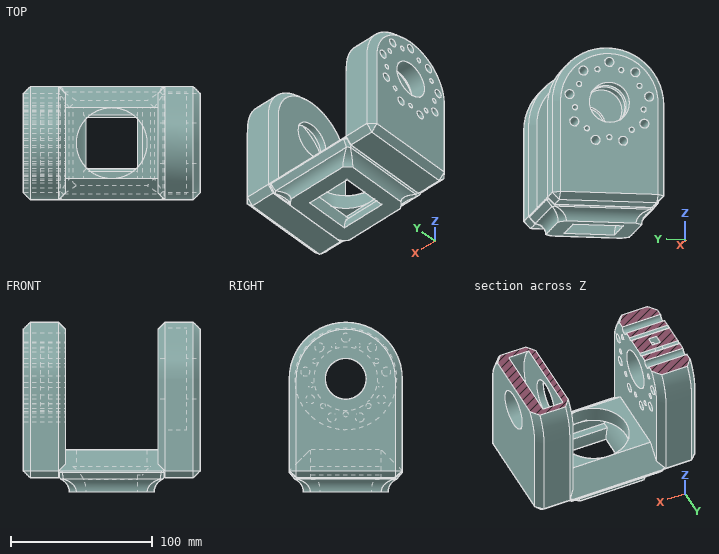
import cadquery as cq
import math

length = 125.0
width = 80.0
height = 120.0

arm_thickness = 30.0
arm_bottom = 10.0
arm_chamfer = 5.0
pivot_height = height - width / 2
bore_diameter = 28.6

left_outer_wall = 12.2
left_inner_wall = 12.0
left_chamber_radius = 22.5
right_outer_wall = 9.8
right_inner_wall = 5.0
right_chamber_radius = 36.0

hole_count = 9
large_hole_diameter = 6.4
large_ring_radius = 29.0
small_hole_diameter = 3.6
small_ring_radius = 25.0

bridge_bottom = arm_bottom + arm_chamfer
bridge_top = 30.0
bridge_top_width = 50.0

pad_side = 60.0
flare_radius = (width - pad_side) / 2
corner_leg = 5.0
foot_chamfer = 4.0

passage_diameter = 50.0
skin = 12.0
side_ledge_height = 9.0
end_ledge_height = 12.0
well_floor = 18.0


def build_arm(outer_wall, inner_wall, chamber_radius):
    """Arm at the -X end with chamfered edges, a bore and a closed chamber around the bore."""
    arm = (
        cq.Workplane("YZ", origin=(-length / 2, 0, 0))
        .moveTo(-width / 2, pivot_height)
        .threePointArc((0, height), (width / 2, pivot_height))
        .lineTo(width / 2, arm_bottom)
        .lineTo(-width / 2, arm_bottom)
        .close()
        .extrude(arm_thickness)
    )
    rim_and_bottom_edges = arm.faces("<X or >X or <Z").edges()
    arm = rim_and_bottom_edges.chamfer(arm_chamfer)

    pivot = pivot_plane()
    bore = pivot.circle(bore_diameter / 2).extrude(arm_thickness)
    chamber_depth = arm_thickness - outer_wall - inner_wall
    chamber = pivot.workplane(offset=outer_wall).circle(chamber_radius).extrude(chamber_depth)
    return arm.cut(bore).cut(chamber)


def pivot_plane():
    """Work plane on the -X end face, centred on the pivot axis and facing into the part."""
    return cq.Workplane("YZ", origin=(-length / 2, 0, pivot_height))


def hole_ring(ring_radius, hole_diameter, start_angle):
    """Evenly spaced holes around the pivot axis, through the left arm."""
    return (
        pivot_plane()
        .polarArray(ring_radius, start_angle, 360, hole_count)
        .circle(hole_diameter / 2)
        .extrude(arm_thickness)
    )


def build_bridge():
    """Bar joining the arms, with both long top edges sloped away."""
    span = width
    return (
        cq.Workplane("YZ", origin=(-span / 2, 0, 0))
        .moveTo(-width / 2, bridge_bottom)
        .lineTo(-bridge_top_width / 2, bridge_top)
        .lineTo(bridge_top_width / 2, bridge_top)
        .lineTo(width / 2, bridge_bottom)
        .close()
        .extrude(span)
    )


def flared_prism(bottom_half, flare, top_half, angle):
    """Long prism along Y, turned about Z, whose sides flare, then slope, out to the top width."""
    chamfer_angle = 2 * math.asin(foot_chamfer / (2 * flare_radius))
    flare_end = 90 - math.degrees(chamfer_angle)
    shoulder = flare_radius + foot_chamfer
    half = (
        cq.Workplane("XZ", origin=(0, width, 0))
        .moveTo(bottom_half, 0)
        .ellipseArc(flare, flare_radius, 180 - flare_end, 180, sense=-1)
        .lineTo(top_half, shoulder)
        .lineTo(top_half, bridge_bottom)
        .lineTo(0, bridge_bottom)
        .lineTo(0, 0)
        .close()
        .extrude(2 * width)
    )
    return half.union(half.mirror("YZ")).rotate((0, 0, 0), (0, 0, 1), angle)


def build_foot():
    """Square flared foot with its four upright corners cut off at 45 degrees."""
    foot = flared_prism(pad_side / 2, flare_radius, width / 2, 0)
    foot = foot.intersect(flared_prism(pad_side / 2, flare_radius, width / 2, 90))
    corner_bottom = (pad_side - corner_leg) / math.sqrt(2)
    corner_flare = width / math.sqrt(2) - corner_bottom
    corner_top = (width - corner_leg) / math.sqrt(2)
    for angle in (45, -45):
        foot = foot.intersect(flared_prism(corner_bottom, corner_flare, corner_top, angle))
    return foot


wall_radius = flare_radius + skin
wall_center = width / 2


def wall_offset(z):
    """Distance of the curved passage wall from the centre plane at height z."""
    return wall_center - math.sqrt(wall_radius**2 - z**2)


def build_passage():
    """Round well opening into a wider hollow that narrows to a square hole at the bottom."""
    radius = passage_diameter / 2
    opening = wall_offset(0)
    well = cq.Workplane("XY", origin=(0, 0, well_floor)).circle(radius)
    well = well.extrude(bridge_top - well_floor)

    hollow_end = wall_offset(well_floor)
    left_mid = well_floor / 2
    right_mid = (end_ledge_height + well_floor) / 2
    section_across_x = (
        cq.Workplane("XZ", origin=(0, radius, 0))
        .moveTo(-opening, 0)
        .threePointArc((-wall_offset(left_mid), left_mid), (-hollow_end, well_floor))
        .lineTo(hollow_end, well_floor)
        .threePointArc(
            (wall_offset(right_mid), right_mid),
            (wall_offset(end_ledge_height), end_ledge_height),
        )
        .lineTo(opening, end_ledge_height)
        .lineTo(opening, 0)
        .close()
        .extrude(passage_diameter)
    )

    ledge_inner = wall_offset(side_ledge_height)
    side_mid = side_ledge_height / 2
    section_across_y = (
        cq.Workplane("YZ", origin=(-hollow_end, 0, 0))
        .moveTo(-opening, 0)
        .threePointArc((-wall_offset(side_mid), side_mid), (-ledge_inner, side_ledge_height))
        .lineTo(-radius, side_ledge_height)
        .lineTo(-radius, well_floor)
        .lineTo(radius, well_floor)
        .lineTo(radius, side_ledge_height)
        .lineTo(ledge_inner, side_ledge_height)
        .threePointArc((wall_offset(side_mid), side_mid), (opening, 0))
        .close()
        .extrude(2 * hollow_end)
    )
    return well.union(section_across_x.intersect(section_across_y))


left_arm = build_arm(left_outer_wall, left_inner_wall, left_chamber_radius)
left_arm = left_arm.cut(hole_ring(large_ring_radius, large_hole_diameter, 90))
left_arm = left_arm.cut(hole_ring(small_ring_radius, small_hole_diameter, -90))
right_arm = build_arm(right_outer_wall, right_inner_wall, right_chamber_radius).mirror("YZ")

base = build_bridge().union(build_foot()).cut(build_passage())
result = base.union(left_arm).union(right_arm)